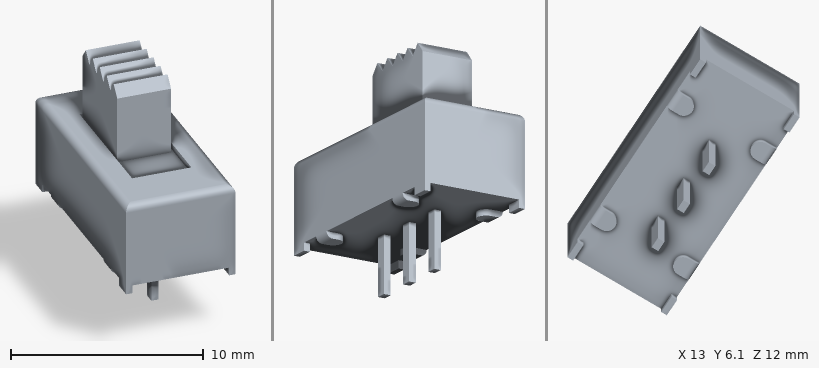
import cadquery as cq

length = 13.0
width = 6.1
base_z = 3.25
top_z = 8.0
top_radius = 0.4
sheet = 0.35

foot_length = 1.0
foot_height = 0.45

slot_length = 7.53
slot_width = 3.3
slot_depth = sheet
slider_length = 5.0
slider_width = 3.0
peak_z = 12.0
tooth_height = 0.6
tooth_count = 5

pin_count = 3
pin_pitch = 2.5
pin_width = 0.6
pin_thickness = 0.4

tab_spacing = 7.57
tab_width = 1.04
tab_straight = 2 * sheet
tab_bend_radius = sheet


def block(x_size, y_size, z_low, z_high):
    """Box centred on the Z axis between two heights."""
    return (
        cq.Workplane("XY", origin=(0, 0, z_low))
        .box(x_size, y_size, z_high - z_low, centered=(True, True, False))
    )


def make_housing():
    housing = block(length, width, base_z, top_z).faces(">Z").edges().fillet(top_radius)
    slot = block(slot_length, slot_width, top_z - slot_depth, top_z)
    return housing.cut(slot)


def make_feet():
    foot = block(foot_length, sheet, base_z - foot_height, base_z)
    feet = cq.Workplane("XY")
    for x_side in (-1, 1):
        for y_side in (-1, 1):
            x = x_side * (length - foot_length) / 2
            y = y_side * (width - sheet) / 2
            feet = feet.add(foot.translate((x, y, 0)))
    return feet.combine()


def make_slider():
    """Block with a sawtooth finger grip, extruded across the slot."""
    left = -slot_length / 2
    pitch = slider_length / tooth_count
    valley_z = peak_z - tooth_height
    points = [(left, top_z - slot_depth), (left, valley_z)]
    for i in range(tooth_count):
        points.append((left + (i + 0.5) * pitch, peak_z))
        points.append((left + (i + 1) * pitch, valley_z))
    points.append((left + slider_length, top_z - slot_depth))
    return cq.Workplane("XZ").polyline(points).close().extrude(slider_width / 2, both=True)


def make_pins():
    pin = block(pin_width, pin_thickness, 0, base_z)
    pins = cq.Workplane("XY")
    for i in range(pin_count):
        pins = pins.add(pin.translate(((i - (pin_count - 1) / 2) * pin_pitch, 0, 0)))
    return pins.combine()


def make_tab():
    """Tab on the -Y wall: a rounded inner end and a bent outer lower edge."""
    outer_y = -width / 2
    straight_end_y = outer_y + tab_straight
    half = tab_width / 2
    tab = (
        cq.Workplane("XY", origin=(0, 0, base_z))
        .moveTo(-half, outer_y)
        .lineTo(half, outer_y)
        .lineTo(half, straight_end_y)
        .threePointArc((0, straight_end_y + half), (-half, straight_end_y))
        .close()
        .extrude(-sheet)
    )
    bend_corner = (
        cq.Workplane("YZ")
        .moveTo(outer_y, base_z)
        .lineTo(outer_y, base_z - tab_bend_radius)
        .lineTo(outer_y + tab_bend_radius, base_z - tab_bend_radius)
        .radiusArc((outer_y, base_z), tab_bend_radius)
        .close()
        .extrude(half, both=True)
    )
    return tab.cut(bend_corner)


def make_tabs():
    tab = make_tab()
    tabs = cq.Workplane("XY")
    for x_side in (-1, 1):
        for angle in (0, 180):
            placed = tab.translate((x_side * tab_spacing / 2, 0, 0))
            tabs = tabs.add(placed.rotate((0, 0, 0), (0, 0, 1), angle))
    return tabs.combine()


result = make_housing()
for piece in (make_feet(), make_slider(), make_pins(), make_tabs()):
    result = result.union(piece)